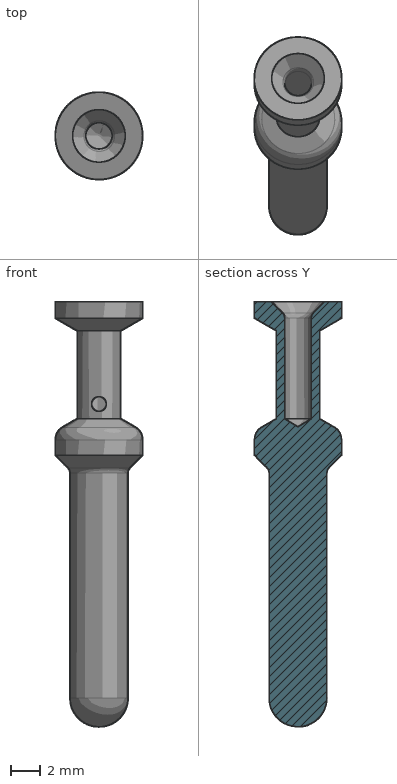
import cadquery as cq
import math

total_length = 29.1
collar_radius = 3.0
neck_radius = 1.5
pin_radius = 2.0

neck_top_depth = 2.0
neck_bottom_depth = 8.0
collar_bottom_depth = 10.5

flank_angle = math.radians(30)
shoulder_radius = 1.0
pin_root_radius = 0.5

bore_radius = 0.9
bore_depth = neck_bottom_depth
countersink_radius = 1.8
mouth_radius = 0.5
drill_tip_angle = math.radians(118)
vent_diameter = 1.0
vent_depth = 7.0

top_z = total_length / 2
bottom_z = -total_length / 2
flank_height = (collar_radius - neck_radius) * math.tan(flank_angle)


def revolve_profile(profile):
    """Turn a closed (radius, height) profile about the Z axis."""
    return profile.close().revolve(360, (0, 0, 0), (0, 1, 0))


def blend_ends(wall_radius, corner_z, blend_radius):
    """Ends of an arc tangent to a 45 degree cone above and a cylinder of wall_radius below."""
    tangent_length = blend_radius * math.tan(math.pi / 8)
    cone_offset = tangent_length * math.cos(math.pi / 4)
    start = (wall_radius + cone_offset, corner_z + cone_offset)
    end = (wall_radius, corner_z - tangent_length)
    return start, end


def make_body():
    neck_top_z = top_z - neck_top_depth
    neck_bottom_z = top_z - neck_bottom_depth

    shoulder_corner_z = neck_bottom_z - flank_height
    shoulder_tangent = shoulder_radius * math.tan((math.pi / 2 - flank_angle) / 2)
    shoulder_start = (
        collar_radius - shoulder_tangent * math.cos(flank_angle),
        shoulder_corner_z + shoulder_tangent * math.sin(flank_angle),
    )
    shoulder_end = (collar_radius, shoulder_corner_z - shoulder_tangent)

    collar_bottom_z = top_z - collar_bottom_depth
    root_corner_z = collar_bottom_z - (collar_radius - pin_radius)
    root_start, root_end = blend_ends(pin_radius, root_corner_z, pin_root_radius)

    tip_center_z = bottom_z + pin_radius
    tip_offset = pin_radius * math.cos(math.pi / 4)

    profile = (
        cq.Workplane("XZ")
        .moveTo(0, top_z)
        .lineTo(collar_radius, top_z)
        .lineTo(collar_radius, neck_top_z + flank_height)
        .lineTo(neck_radius, neck_top_z)
        .lineTo(neck_radius, neck_bottom_z)
        .lineTo(*shoulder_start)
        .tangentArcPoint(shoulder_end, relative=False)
        .lineTo(collar_radius, collar_bottom_z)
        .lineTo(*root_start)
        .tangentArcPoint(root_end, relative=False)
        .lineTo(pin_radius, tip_center_z)
        .threePointArc((tip_offset, tip_center_z - tip_offset), (0, bottom_z))
    )
    return revolve_profile(profile)


def make_solder_cup():
    """Countersunk blind bore with a rounded mouth and a conical drill tip."""
    mouth_corner_z = top_z - (countersink_radius - bore_radius)
    mouth_start, mouth_end = blend_ends(bore_radius, mouth_corner_z, mouth_radius)

    bore_bottom_z = top_z - bore_depth
    tip_height = bore_radius / math.tan(drill_tip_angle / 2)
    profile = (
        cq.Workplane("XZ")
        .moveTo(0, top_z)
        .lineTo(countersink_radius, top_z)
        .lineTo(*mouth_start)
        .tangentArcPoint(mouth_end, relative=False)
        .lineTo(bore_radius, bore_bottom_z)
        .lineTo(0, bore_bottom_z - tip_height)
    )
    return revolve_profile(profile)


def make_vent():
    """Radial hole from the bore axis out through the -Y wall of the neck."""
    return (
        cq.Workplane("XZ")
        .center(0, top_z - vent_depth)
        .circle(vent_diameter / 2)
        .extrude(collar_radius)
    )


result = make_body().cut(make_solder_cup()).cut(make_vent())